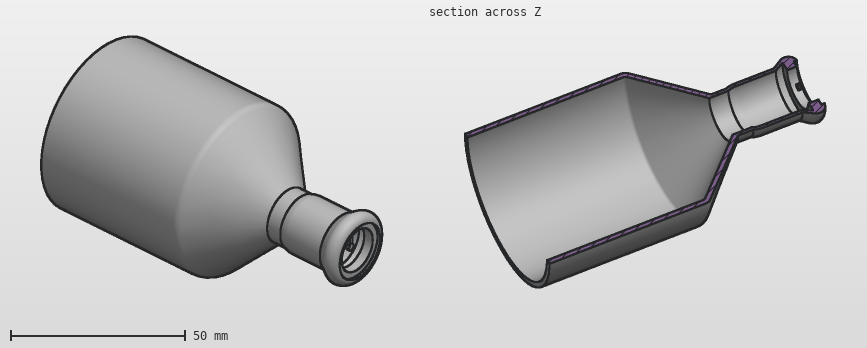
import cadquery as cq
import math

total_length = 97.0
tube_radius = 27.01
tube_wall = 1.65
tube_length = 49.9
shoulder_radius = 2.9

neck_radius = 8.6
neck_end = 74.4
socket_start = 77.0
socket_radius = 9.2
socket_end = 89.8
thin_wall = 1.2

bead_radius = 11.5
bead_roll_radius = 2.7
flare_angle = math.radians(33)

seal_start = 92.8
seal_end = 96.0
seal_bore_radius = 6.8
tab_thickness = 1.0
tab_width = 1.2
tab_disc_radius = 1.1

bead_center_x = total_length - bead_roll_radius
bead_center_r = bead_radius - bead_roll_radius
inner_roll_radius = bead_roll_radius - thin_wall
bore_neck = neck_radius - thin_wall
bore_socket = socket_radius - thin_wall


def arc_point(center_x, center_r, radius, angle):
    """Point on a circle, with the angle measured from radially outward toward +X."""
    return center_x + radius * math.sin(angle), center_r + radius * math.cos(angle)


def wall_outline(tube_r, bend_r, neck_r, socket_r, roll_r):
    """Solid of revolution bounded by the outer or inner side of the wall."""
    bend_center_r = tube_r - bend_r
    bend_mid = arc_point(tube_length, bend_center_r, bend_r, math.pi / 8)
    cone_start = arc_point(tube_length, bend_center_r, bend_r, math.pi / 4)
    cone_end_x = cone_start[0] + cone_start[1] - neck_r
    roll_start = arc_point(bead_center_x, bead_center_r, roll_r, -flare_angle)
    roll_mid = arc_point(bead_center_x, bead_center_r, roll_r, math.pi / 4)
    roll_end = (bead_center_x + roll_r, bead_center_r)

    swell_length = socket_start - neck_end
    swell_height = socket_r - neck_r
    swell_radius = (swell_length**2 + swell_height**2) / (2 * swell_height)
    swell_angle = math.asin(swell_length / swell_radius)
    swell_mid = arc_point(socket_start, socket_r - swell_radius, swell_radius, -swell_angle / 2)

    profile = (
        cq.Workplane("XY")
        .moveTo(0, 0)
        .lineTo(0, tube_r)
        .lineTo(tube_length, tube_r)
        .threePointArc(bend_mid, cone_start)
        .lineTo(cone_end_x, neck_r)
        .lineTo(neck_end, neck_r)
        .threePointArc(swell_mid, (socket_start, socket_r))
        .lineTo(socket_end, socket_r)
        .lineTo(*roll_start)
        .threePointArc(roll_mid, roll_end)
        .lineTo(roll_end[0], 0)
        .close()
    )
    return profile.revolve(360, (0, 0, 0), (1, 0, 0))


def seal_ring():
    """Flat-faced ring filling the bead cavity."""
    return (
        cq.Workplane("YZ", origin=(seal_start, 0, 0))
        .circle(bead_center_r + inner_roll_radius)
        .circle(seal_bore_radius)
        .extrude(seal_end - seal_start)
    )


def seal_tab():
    """Flat strip hanging from the top of the seal, ending in a disc on the axis."""
    face = cq.Workplane("YZ", origin=(seal_start, 0, 0))
    disc = face.circle(tab_disc_radius).extrude(tab_thickness)
    strip_length = bore_socket
    strip = face.center(0, strip_length / 2).rect(tab_width, strip_length).extrude(tab_thickness)
    return strip.union(disc)


outer = wall_outline(tube_radius, shoulder_radius, neck_radius, socket_radius, bead_roll_radius)
inner = wall_outline(
    tube_radius - tube_wall,
    shoulder_radius - tube_wall,
    bore_neck,
    bore_socket,
    inner_roll_radius,
)
mouth = cq.Workplane("YZ", origin=(bead_center_x, 0, 0)).circle(bead_center_r).extrude(bead_roll_radius)
shell = outer.cut(inner).cut(mouth)
seal = seal_ring().intersect(outer)
result = shell.union(seal).union(seal_tab())